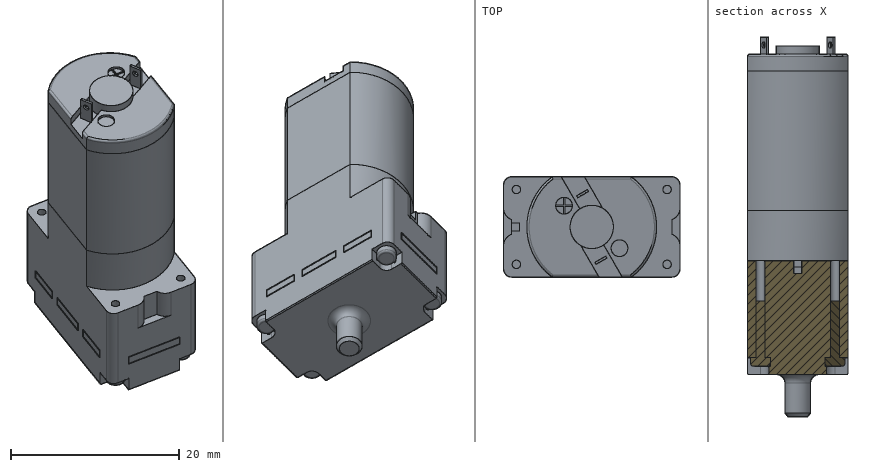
import cadquery as cq
import math


box_length = 21.0
box_depth = 12.0
box_height = 13.55
box_corner_radius = 1.0
box_bottom_chamfer = 0.15

motor_half_length = 7.75
flat_half_length = 4.7
can_bottom_z = 19.53
cap_bottom_z = 36.1
cap_top_z = 38.15
cap_edge_radius = 0.25

shaft_radius = 1.55
shaft_tip_z = -5.0
shaft_tip_radius = 1.18
shaft_taper_length = 0.45
shaft_root_fillet = 1.0

boss_radius = 2.58
boss_top_z = 39.15
slot_width = 2.4
slot_depth = 1.05
slot_offset = 1.05
slot_angle = 120
vent_radius = 1.0
vent_depth = 0.3
vent_x = 3.3
vent_y = 2.55
cross_groove_width = 0.2
cross_groove_depth = 0.23

terminal_width = 1.5
terminal_thickness = 0.25
terminal_top_z = 40.2
terminal_distance = 4.0
terminal_hole_radius = 0.35
terminal_hole_drop = 0.95

screw_inset = 1.55
screw_hole_radius = 0.5
screw_head_radius = 1.18
screw_head_height = 1.0
screw_head_rounding = 0.25
screw_shank_length = 6.8
notch_height = 2.0
notch_round_radius = 1.0

window_bottom_z = 4.4
window_height = 1.15
window_recess = 0.1
middle_window_length = 5.05
outer_window_length = 4.1
outer_window_x = 5.8
end_window_length = 6.95

pocket_depth = 0.95
pocket_height = 3.8
pocket_mouth_half = 2.25
pocket_edge_radius = 1.5

wire_notch_size = 0.95
wire_notch_height = 1.5
wire_passage_height = 0.72
wire_passage_length = 0.45

slot_floor_z = cap_top_z - slot_depth
screw_head_bottom_z = notch_height - screw_head_height
screw_x = box_length / 2 - screw_inset
screw_y = box_depth / 2 - screw_inset
screw_points = [(sx * screw_x, sy * screw_y) for sx in (-1, 1) for sy in (-1, 1)]


def block(size, center_xy, bottom_z):
    """Box given by its size, its plan centre and its bottom level."""
    return (
        cq.Workplane("XY", origin=(*center_xy, bottom_z))
        .box(*size, centered=(True, True, False))
    )


def cylinder(radius, center_xy, bottom_z, top_z):
    return (
        cq.Workplane("XY", origin=(*center_xy, bottom_z))
        .circle(radius)
        .extrude(top_z - bottom_z)
    )


def motor_section(bottom_z, top_z):
    """Column with two parallel flats joined by arcs."""
    flat_y = box_depth / 2
    return (
        cq.Workplane("XY", origin=(0, 0, bottom_z))
        .moveTo(-flat_half_length, -flat_y)
        .lineTo(flat_half_length, -flat_y)
        .threePointArc((motor_half_length, 0), (flat_half_length, flat_y))
        .lineTo(-flat_half_length, flat_y)
        .threePointArc((-motor_half_length, 0), (-flat_half_length, -flat_y))
        .close()
        .extrude(top_z - bottom_z)
    )


def about_axis(body, angle):
    return body.rotate((0, 0, 0), (0, 0, 1), angle)


def output_shaft():
    """Shaft with a tapered tip, whose root flares into the gearbox bottom."""
    flare_radius = shaft_radius + shaft_root_fillet
    bend = shaft_root_fillet * (1 - math.sqrt(0.5))
    return (
        cq.Workplane("XZ")
        .moveTo(0, 0)
        .lineTo(flare_radius, 0)
        .threePointArc((shaft_radius + bend, -bend), (shaft_radius, -shaft_root_fillet))
        .lineTo(shaft_radius, shaft_tip_z + shaft_taper_length)
        .lineTo(shaft_tip_radius, shaft_tip_z)
        .lineTo(0, shaft_tip_z)
        .close()
        .revolve(360, (0, 0, 0), (0, 1, 0))
    )


def corner_notch(x, y):
    """Square corner cut-out with its inner edge rounded around the screw axis."""
    half_size = screw_inset + notch_round_radius
    center = (
        math.copysign(box_length / 2, x),
        math.copysign(box_depth / 2, y),
    )
    notch = block((2 * half_size, 2 * half_size, notch_height), center, 0)
    return notch.edges("|Z").fillet(notch_round_radius)


def end_pocket():
    """Pocket in the -X end, open at the top, its mouth edges rounded outwards."""
    outer_x = -box_length / 2
    floor_x = outer_x + pocket_depth

    def wall_shift(depth):
        return math.sqrt(pocket_edge_radius**2 - (pocket_edge_radius - depth) ** 2)

    floor_half = pocket_mouth_half - wall_shift(pocket_depth)
    middle_half = pocket_mouth_half - wall_shift(pocket_depth / 4)
    middle_x = outer_x + pocket_depth / 4
    return (
        cq.Workplane("XY", origin=(0, 0, box_height - pocket_height))
        .moveTo(outer_x, -pocket_mouth_half)
        .threePointArc((middle_x, -middle_half), (floor_x, -floor_half))
        .lineTo(floor_x, floor_half)
        .threePointArc((middle_x, middle_half), (outer_x, pocket_mouth_half))
        .close()
        .extrude(pocket_height)
    )


def wire_notch():
    """Square notch behind the -X pocket, with a low passage leading inwards."""
    start_x = -box_length / 2 + pocket_depth
    bottom_z = box_height - wire_notch_height
    notch = block(
        (wire_notch_size, wire_notch_size, wire_notch_height),
        (start_x + wire_notch_size / 2, 0),
        bottom_z,
    )
    reach = wire_notch_size + wire_passage_length
    passage = block(
        (reach, wire_notch_size, wire_passage_height),
        (start_x + reach / 2, 0),
        bottom_z,
    )
    return notch.union(passage)


def side_windows():
    """Shallow rectangular recesses in all four gearbox sides."""
    front_windows = [
        (-outer_window_x, outer_window_length),
        (0, middle_window_length),
        (outer_window_x, outer_window_length),
    ]
    windows = cq.Workplane("XY")
    for side in (-1, 1):
        for x, length in front_windows:
            size = (length, 2 * window_recess, window_height)
            windows = windows.add(block(size, (x, side * box_depth / 2), window_bottom_z))
        size = (2 * window_recess, end_window_length, window_height)
        windows = windows.add(block(size, (side * box_length / 2, 0), window_bottom_z))
    return windows


def make_gearbox():
    body = (
        block((box_length, box_depth, box_height), (0, 0), 0)
        .edges("|Z").fillet(box_corner_radius)
        .faces("<Z").chamfer(box_bottom_chamfer)
    )
    body = body.union(motor_section(box_height / 2, can_bottom_z))
    body = body.union(output_shaft())
    for x, y in screw_points:
        body = body.cut(corner_notch(x, y))
        body = body.cut(cylinder(screw_head_radius, (x, y), screw_head_bottom_z, notch_height))
        body = body.cut(cylinder(screw_hole_radius, (x, y), 0, box_height))
    body = body.cut(end_pocket())
    body = body.cut(about_axis(end_pocket(), 180))
    body = body.cut(wire_notch())
    for window in side_windows().vals():
        body = body.cut(cq.Workplane(window))
    return body


def make_can():
    return motor_section(can_bottom_z, cap_bottom_z)


def upper_slot():
    """Straight slot from beside the motor axis out through the +Y flat."""
    size = (box_depth, slot_width, slot_depth)
    slot = block(size, (box_depth / 2, -slot_offset), slot_floor_z)
    return about_axis(slot, slot_angle)


def cross_groove():
    """Cross-shaped groove in the floor of the -X vent, reaching its wall."""
    bottom_z = cap_top_z - vent_depth - cross_groove_depth
    bar = block((2 * vent_radius, cross_groove_width, cross_groove_depth), (0, 0), bottom_z)
    cross = bar.union(about_axis(bar, 90))
    cross = cross.intersect(cylinder(vent_radius, (0, 0), bottom_z, cap_top_z))
    return cross.translate((-vent_x, vent_y, 0))


def make_cap():
    body = motor_section(cap_bottom_z, cap_top_z).faces(">Z").edges().fillet(cap_edge_radius)
    for turn in (0, 180):
        body = body.cut(about_axis(upper_slot(), turn))
    body = body.union(cylinder(boss_radius, (0, 0), cap_bottom_z, boss_top_z))
    for center in [(vent_x, -vent_y), (-vent_x, vent_y)]:
        body = body.cut(cylinder(vent_radius, center, cap_top_z - vent_depth, cap_top_z))
    return body.cut(cross_groove())


def make_terminal(turn):
    """Upright tab standing on a slot floor, pierced near its tip."""
    height = terminal_top_z - slot_floor_z
    center = (terminal_distance, -slot_offset)
    tab = block((terminal_thickness, terminal_width, height), center, slot_floor_z)
    hole = (
        cq.Workplane("YZ", origin=(0, -slot_offset, terminal_top_z - terminal_hole_drop))
        .circle(terminal_hole_radius)
        .extrude(2 * terminal_distance)
    )
    return about_axis(tab.cut(hole), slot_angle + turn)


def make_screw(x, y):
    """Screw entered from below, its head against the top of the corner notch."""
    head = cylinder(screw_head_radius, (x, y), screw_head_bottom_z, notch_height)
    head = head.faces("<Z").edges().fillet(screw_head_rounding)
    shank = cylinder(screw_hole_radius, (x, y), notch_height, notch_height + screw_shank_length)
    return head.union(shank)


gearbox = make_gearbox()
can = make_can()
cap = make_cap()
terminals = [make_terminal(turn) for turn in (0, 180)]
screws = [make_screw(x, y) for x, y in screw_points]

result = cq.Compound.makeCompound(
    [
        gearbox.val(),
        can.val(),
        cap.val(),
        *[terminal.val() for terminal in terminals],
        *[screw.val() for screw in screws],
    ]
)